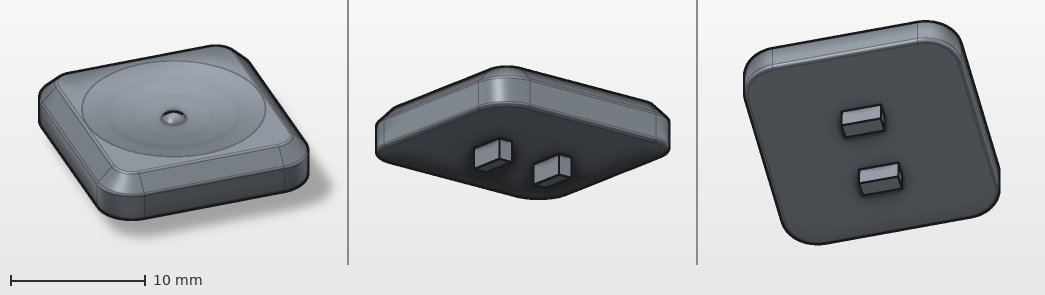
import cadquery as cq
import math

length = 17.55
width = 16.55
body_height = 3.51
corner_radius = 2.74
chamfer_size = 1.25
edge_radius = 0.3

dish_radius = 6.83
dish_depth = 0.86
dish_rim_radius = 0.2

nub_radius = 0.9
nub_height = 0.44
nub_base_radius = 0.15

leg_thickness = 1.2
leg_width = 3.0
leg_length = 1.63
leg_spacing = 5.72


def cap_sphere_radius(base_radius, height):
    """Radius of the sphere whose cap has this base radius and height."""
    return (base_radius**2 + height**2) / (2 * height)


def make_body():
    body = cq.Workplane("XY").box(length, width, body_height, centered=(True, True, False))
    body = body.edges("|Z").fillet(corner_radius)
    body = body.faces(">Z").edges().chamfer(chamfer_size)
    body = body.faces("<Z or >Z").edges().fillet(edge_radius)
    shoulder_height = body_height - chamfer_size
    reach = 0.02
    shoulder = cq.selectors.BoxSelector(
        (-length, -width, shoulder_height - reach),
        (length, width, shoulder_height + reach),
    )
    return body.edges(shoulder).fillet(edge_radius)


def cut_dish(body):
    sphere_radius = cap_sphere_radius(dish_radius, dish_depth)
    center_height = body_height - dish_depth + sphere_radius
    sphere = cq.Workplane("XY").sphere(sphere_radius).translate((0, 0, center_height))
    rim = cq.selectors.RadiusNthSelector(-1)
    return body.cut(sphere).faces(">Z").edges("%CIRCLE").edges(rim).fillet(dish_rim_radius)


def add_nub(body):
    sphere_radius = cap_sphere_radius(nub_radius, nub_height)
    dish_sphere_radius = cap_sphere_radius(dish_radius, dish_depth)
    dish_rise = dish_sphere_radius - math.sqrt(dish_sphere_radius**2 - nub_radius**2)
    base_height = body_height - dish_depth + dish_rise
    center_height = base_height + nub_height - sphere_radius
    nub = cq.Workplane("XY").sphere(sphere_radius).translate((0, 0, center_height))
    reach = 0.02
    joint = cq.selectors.BoxSelector(
        (-reach, -reach, base_height - reach),
        (reach, reach, base_height + reach),
    )
    return body.union(nub).edges(joint).fillet(nub_base_radius)


def make_legs():
    return (
        cq.Workplane("XY")
        .rarray(leg_spacing, 0.18, 2, 1)
        .rect(leg_thickness, leg_width)
        .extrude(-leg_length)
    )


result = add_nub(cut_dish(make_body())).union(make_legs())